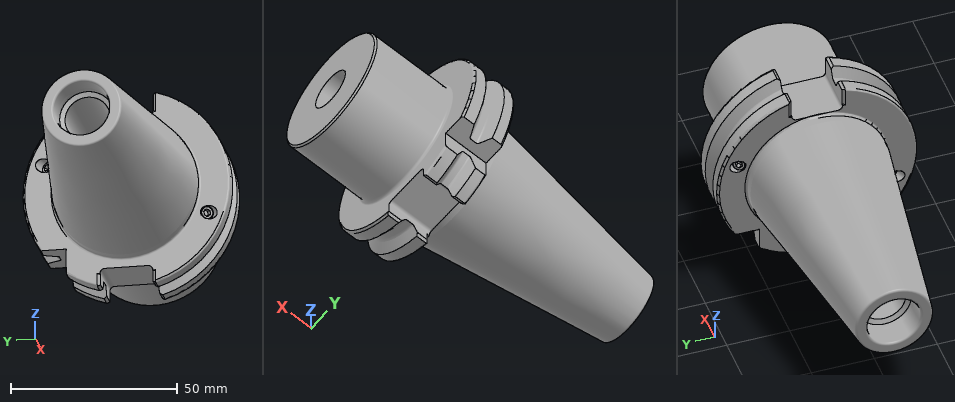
import cadquery as cq
import math

taper_length = 68.4
gauge_radius = 44.45 / 2
taper_ratio = 7 / 24
small_end_radius = gauge_radius - taper_length * taper_ratio / 2
small_end_fillet = 0.8

flange_front = 3.2
flange_rear = 19.1
flange_radius = 63.55 / 2
flange_rim_fillet = 0.7
flange_root_fillet = 0.8
groove_center = 10.9
groove_radius = 28.2
groove_floor_half_width = 1.5
groove_flank_angle = 30
groove_fillet = 0.8

nose_end = 48.85
nose_radius = 21.0
nose_root_fillet = 1.0
nose_chamfer = 0.6

mouth_radius = 8.5
mouth_depth = 6.6
mouth_fillet = 0.8
seat_radius = 8.4
seat_lead_in = 0.8
seat_depth = 9.0
bore_radius = 13.835 / 2
bore_cone_angle = 60

slot_width = 16.1
slot_fillet = 1.5
slot_chamfer = 0.9
slot_rim_chamfer_drop = 0.6
upper_slot_floor = 22.8
lower_slot_floor = 25.0
notch_offset_y = 18.4
notch_offset_z = 18.0

coolant_hole_diameter = 4.2
coolant_hole_radius = 26.9
coolant_hole_azimuth = 20
coolant_hole_tilt = 35
screw_recess = 1.4
screw_length = 5.0
screw_chamfer = 0.3
socket_across_flats = 2.0
socket_depth = 2.0
socket_sides = 6

cut_clearance = 5.0
ring_tolerance = 0.05


def ring_at(x, radius):
    """Selector for the circular edge of this radius in the plane at x."""

    def box(half_size):
        return cq.selectors.BoxSelector(
            (x - ring_tolerance, -half_size, -half_size),
            (x + ring_tolerance, half_size, half_size),
            boundingbox=True,
        )

    return box(radius + ring_tolerance) - box(radius - ring_tolerance)


def make_blank():
    """Turned outside of the holder, revolved about the X axis."""
    flank_run = (flange_radius - groove_radius) * math.tan(math.radians(groove_flank_angle))
    groove_rim_half_width = groove_floor_half_width + flank_run
    blank = (
        cq.Workplane("XZ")
        .moveTo(-taper_length, 0)
        .lineTo(-taper_length, small_end_radius)
        .lineTo(0, gauge_radius)
        .lineTo(flange_front, gauge_radius)
        .lineTo(flange_front, flange_radius)
        .lineTo(groove_center - groove_rim_half_width, flange_radius)
        .lineTo(groove_center - groove_floor_half_width, groove_radius)
        .lineTo(groove_center + groove_floor_half_width, groove_radius)
        .lineTo(groove_center + groove_rim_half_width, flange_radius)
        .lineTo(flange_rear, flange_radius)
        .lineTo(flange_rear, nose_radius)
        .lineTo(nose_end, nose_radius)
        .lineTo(nose_end, 0)
        .close()
        .revolve(360, (0, 0, 0), (1, 0, 0))
    )
    blank = blank.edges(ring_at(-taper_length, small_end_radius)).fillet(small_end_fillet)
    blank = blank.edges(ring_at(flange_front, gauge_radius)).fillet(flange_root_fillet)
    for side in (-1, 1):
        floor_edge = ring_at(groove_center + side * groove_floor_half_width, groove_radius)
        blank = blank.edges(floor_edge).fillet(groove_fillet)
    for face_x in (flange_front, flange_rear):
        blank = blank.edges(ring_at(face_x, flange_radius)).fillet(flange_rim_fillet)
    blank = blank.edges(ring_at(flange_rear, nose_radius)).fillet(nose_root_fillet)
    return blank.edges(ring_at(nose_end, nose_radius)).chamfer(nose_chamfer)


def make_bore():
    """Tool that cuts the rounded mouth, the seat, the cone and the through bore."""
    mouth_plane = -taper_length
    mouth_end = mouth_plane + mouth_depth
    seat_end = mouth_plane + seat_depth
    cone_end = seat_end + (seat_radius - bore_radius) / math.tan(math.radians(bore_cone_angle))
    return (
        cq.Workplane("XZ")
        .moveTo(mouth_plane, 0)
        .lineTo(mouth_plane, mouth_radius + mouth_fillet)
        .radiusArc((mouth_plane + mouth_fillet, mouth_radius), -mouth_fillet)
        .lineTo(mouth_end, mouth_radius)
        .lineTo(mouth_end + seat_lead_in, seat_radius)
        .lineTo(seat_end, seat_radius)
        .lineTo(cone_end, bore_radius)
        .lineTo(nose_end, bore_radius)
        .lineTo(nose_end, 0)
        .close()
        .revolve(360, (0, 0, 0), (1, 0, 0))
    )


def make_slot(floor):
    """Driving slot tool open toward +Z, with rounded floor corners and flared front and rim edges."""
    length = flange_rear - flange_front
    height = flange_radius + cut_clearance - floor
    slot = (
        cq.Workplane("XY")
        .box(length, slot_width, height, centered=(False, True, False))
        .edges("|X and <Z")
        .fillet(slot_fillet)
        .translate((flange_front, 0, floor))
    )
    half_width = slot_width / 2
    rim_height = math.sqrt(flange_radius**2 - (half_width + slot_chamfer) ** 2)
    rim_flare = (
        cq.Workplane("YZ", origin=(flange_front, 0, 0))
        .moveTo(0, rim_height - slot_rim_chamfer_drop)
        .lineTo(half_width, rim_height - slot_rim_chamfer_drop)
        .lineTo(half_width + slot_chamfer, rim_height)
        .lineTo(half_width + slot_chamfer, floor + height)
        .lineTo(0, floor + height)
        .mirrorY()
        .extrude(length)
    )
    front_flare = (
        cq.Workplane("XY", origin=(flange_front, 0, floor + slot_fillet))
        .moveTo(0, 0)
        .lineTo(0, half_width + slot_chamfer)
        .lineTo(slot_chamfer, half_width)
        .lineTo(slot_chamfer, 0)
        .mirrorX()
        .extrude(height - slot_fillet)
    )
    return slot.union(rim_flare).union(front_flare)


def make_notch():
    """Orientation notch tool that squares off the flange toward +Y and -Z."""
    return (
        cq.Workplane("XY")
        .box(flange_rear - flange_front, flange_radius, flange_radius, centered=False)
        .translate((flange_front, notch_offset_y, -notch_offset_z - flange_radius))
    )


def hole_plane(turn):
    """Plane at a coolant hole mouth, its normal running into the flange and toward the axis."""
    azimuth = math.radians(coolant_hole_azimuth + turn)
    tilt = math.radians(coolant_hole_tilt)
    radial = cq.Vector(0, math.cos(azimuth), math.sin(azimuth))
    mouth = radial * coolant_hole_radius + cq.Vector(flange_front, 0, 0)
    inward = cq.Vector(math.cos(tilt), 0, 0) - radial * math.sin(tilt)
    tangent = cq.Vector(0, -math.sin(azimuth), math.cos(azimuth))
    return cq.Plane(origin=mouth, xDir=tangent, normal=inward)


def make_coolant_hole(turn):
    """Slanted hole tool that ends at the inner end of its screw."""
    return (
        cq.Workplane(hole_plane(turn))
        .workplane(offset=-cut_clearance)
        .circle(coolant_hole_diameter / 2)
        .extrude(cut_clearance + screw_recess + screw_length)
    )


def make_set_screw(turn):
    """Headless screw with a hexagon socket in its outer end."""
    screw = (
        cq.Workplane(hole_plane(turn))
        .workplane(offset=screw_recess)
        .circle(coolant_hole_diameter / 2)
        .extrude(screw_length)
        .edges()
        .chamfer(screw_chamfer)
    )
    socket = (
        cq.Workplane(hole_plane(turn))
        .workplane(offset=screw_recess)
        .polygon(socket_sides, socket_across_flats, circumscribed=True)
        .extrude(socket_depth)
    )
    return screw.cut(socket)


hole_turns = (0, 180)

holder = make_blank().cut(make_bore())
holder = holder.cut(make_slot(upper_slot_floor))
holder = holder.cut(make_slot(lower_slot_floor).rotate((0, 0, 0), (1, 0, 0), 180))
holder = holder.cut(make_notch())
for turn in hole_turns:
    holder = holder.cut(make_coolant_hole(turn))

set_screws = [make_set_screw(turn) for turn in hole_turns]

result = cq.Compound.makeCompound([holder.val(), *[screw.val() for screw in set_screws]])